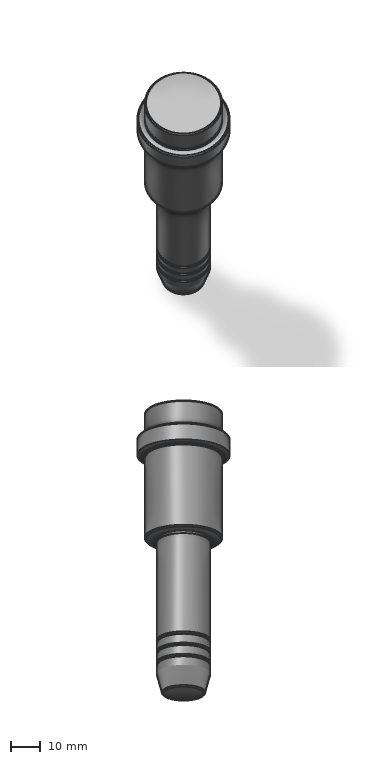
import cadquery as cq
import math

total_length = 100.0
edge_break = 0.5

head_radius = 13.0
collar_radius = 15.5
collar_top = 91.0
collar_bottom = 85.0
body_bottom = 55.0
undercut_width = 1.0
undercut_depth = undercut_width / 2

shaft_radius = 9.0
relief_depth = 0.3
relief_length = 1.0

groove_count = 3
groove_pitch = 4.0
groove_width = 1.0
groove_depth = groove_width / 2
lowest_groove_bottom = 10.0
taper_height = 7.0
taper_angle = math.radians(15)


def cylinder(radius, bottom, top):
    return cq.Workplane("XY").workplane(offset=bottom).circle(radius).extrude(top - bottom)


def ring(outer_radius, inner_radius, bottom, height):
    return (
        cq.Workplane("XY")
        .workplane(offset=bottom)
        .circle(outer_radius)
        .circle(inner_radius)
        .extrude(height)
    )


def vee_ring(surface_radius, depth, bottom, width):
    return (
        cq.Workplane("XZ")
        .moveTo(surface_radius, bottom)
        .lineTo(surface_radius - depth, bottom + width / 2)
        .lineTo(surface_radius, bottom + width)
        .close()
        .revolve(360, (0, 0, 0), (0, 1, 0))
    )


body = cylinder(head_radius, body_bottom, total_length).faces("<Z or >Z").chamfer(edge_break)
for undercut_bottom in (collar_top, collar_bottom - undercut_width):
    body = body.cut(vee_ring(head_radius, undercut_depth, undercut_bottom, undercut_width))
collar = cylinder(collar_radius, collar_bottom, collar_top).faces(">Z").chamfer(edge_break)

tip_radius = shaft_radius - (taper_height - edge_break) * math.tan(taper_angle)
shaft = (
    cq.Workplane("XZ")
    .moveTo(0, 0)
    .lineTo(tip_radius - edge_break, 0)
    .lineTo(tip_radius, edge_break)
    .lineTo(shaft_radius, taper_height)
    .lineTo(shaft_radius, body_bottom)
    .lineTo(0, body_bottom)
    .close()
    .revolve(360, (0, 0, 0), (0, 1, 0))
)

relief_radius = shaft_radius - relief_depth
shaft = shaft.cut(ring(collar_radius, relief_radius, body_bottom - relief_length, relief_length))

for index in range(groove_count):
    groove_bottom = lowest_groove_bottom + index * groove_pitch
    shaft = shaft.cut(vee_ring(shaft_radius, groove_depth, groove_bottom, groove_width))

result = body.union(collar).union(shaft)